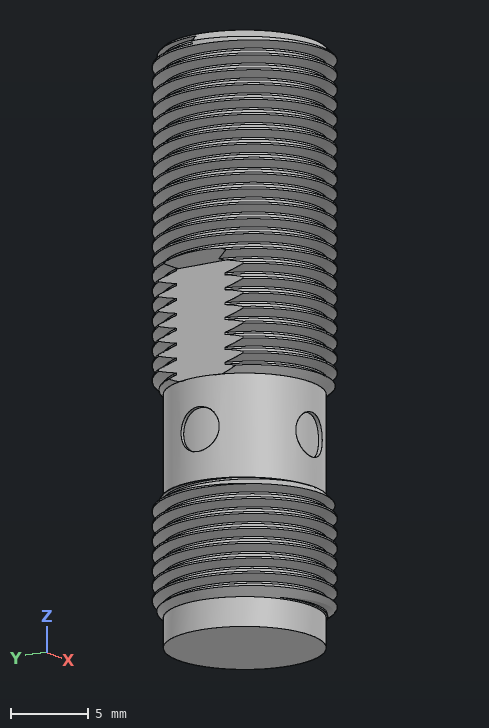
import cadquery as cq
import math

total_length = 40.0
thread_radius = 6.0
neck_radius = 5.3

lower_thread_bottom = 2.0
lower_thread_top = 10.0
upper_thread_bottom = 17.0

pitch = 1.0
crest_flat = pitch / 8
root_flat = pitch / 8
flank_height = (pitch - crest_flat - root_flat) / 2
thread_depth = flank_height / math.tan(math.radians(30))
root_radius = thread_radius - thread_depth

lower_groove_end = lower_thread_top + 0.85
upper_groove_end = total_length - 0.38

thread_top_radius = 5.4

flat_distance = 5.0
flat_top = 24.6

dimple_diameter = 3.0
dimple_floor_radius = 5.0
dimple_count = 4
dimple_height = (lower_thread_top + upper_thread_bottom) / 2

clearance = 0.4

spare_turns = 2


def cylinder(radius, bottom, top):
    return cq.Workplane("XY").workplane(offset=bottom).circle(radius).extrude(top - bottom)


def turned(shape, angle):
    """Copy of a shape turned about the body axis."""
    return shape.rotate((0, 0, 0), (0, 0, 1), angle)


def helix_turn(radius, height):
    """One right-hand helix turn that starts on the -X side."""
    helix = cq.Wire.makeHelix(pitch, pitch, radius).translate(cq.Vector(0, 0, height))
    return turned(helix, 180).Edges()[0]


def thread_rod(bottom, groove_end):
    """Rod with one helical groove, plain at both ends and starting well below the bottom height."""
    thread_form = [
        (thread_radius, -root_flat / 2 - flank_height),
        (root_radius, -root_flat / 2),
        (root_radius, root_flat / 2),
        (thread_radius, root_flat / 2 + flank_height),
        (thread_radius, root_flat / 2 + flank_height + crest_flat),
    ]
    turns = math.ceil((groove_end - bottom) / pitch) + spare_turns
    groove_start = groove_end - turns * pitch

    faces = []
    for turn in range(turns):
        centre = groove_start + turn * pitch
        helices = [helix_turn(radius, centre + rise) for radius, rise in thread_form]
        for lower, upper in zip(helices, helices[1:]):
            faces.append(cq.Face.makeRuledSurface(lower, upper))

    plain_length = spare_turns * pitch
    crest_rise = thread_form[0][1]
    for centre, direction in ((groove_start, -1), (groove_end, 1)):
        corners = [cq.Vector(-radius, 0, centre + rise) for radius, rise in thread_form]
        faces.append(cq.Face.makeFromWires(cq.Wire.makePolygon(corners, close=True)))
        rim_centre = cq.Vector(0, 0, centre + direction * plain_length)
        rim = turned(cq.Edge.makeCircle(thread_radius, rim_centre), 180)
        faces.append(cq.Face.makeRuledSurface(helix_turn(thread_radius, centre + crest_rise), rim))
        faces.append(cq.Face.makeFromWires(cq.Wire.assembleEdges([rim])))

    return cq.Workplane(obj=cq.Solid.makeSolid(cq.Shell.makeShell(faces)))


def thread_envelope(bottom, top):
    """Bevelled cylinder, wider than the crests, that limits a thread to its length."""
    envelope_radius = thread_radius + clearance
    return (
        cylinder(envelope_radius, bottom, top)
        .faces("<Z")
        .chamfer(envelope_radius - neck_radius)
        .faces(">Z")
        .chamfer(envelope_radius - thread_top_radius)
    )


def wrench_flat_cutter():
    """Cutter for the flat on the +X side."""
    outer_distance = thread_radius + 2 * clearance
    return (
        cq.Workplane("XZ")
        .moveTo(flat_distance, upper_thread_bottom)
        .lineTo(outer_distance, upper_thread_bottom)
        .lineTo(outer_distance, flat_top + outer_distance - flat_distance)
        .lineTo(flat_distance, flat_top)
        .close()
        .extrude(outer_distance, both=True)
    )


def dimple_cutter():
    """Cutter for the +X dimple; its floor is concentric with the neck."""
    plug = (
        cq.Workplane("YZ")
        .center(0, dimple_height)
        .circle(dimple_diameter / 2)
        .extrude(thread_radius)
    )
    return plug.cut(cylinder(dimple_floor_radius, lower_thread_top, upper_thread_bottom))


spigot = cylinder(neck_radius, 0, lower_thread_bottom)

lower_thread = thread_envelope(lower_thread_bottom, lower_thread_top).intersect(
    thread_rod(lower_thread_bottom, lower_groove_end), clean=False
)

neck = cylinder(neck_radius, lower_thread_top, upper_thread_bottom)
for index in range(dimple_count):
    neck = neck.cut(turned(dimple_cutter(), index * 360 / dimple_count))

upper_envelope = thread_envelope(upper_thread_bottom, total_length)
for angle in (0, 180):
    upper_envelope = upper_envelope.cut(turned(wrench_flat_cutter(), angle))
upper_thread = upper_envelope.intersect(
    thread_rod(upper_thread_bottom, upper_groove_end), clean=False
)

result = spigot
for section in (lower_thread, neck, upper_thread):
    result = result.union(section, clean=False)